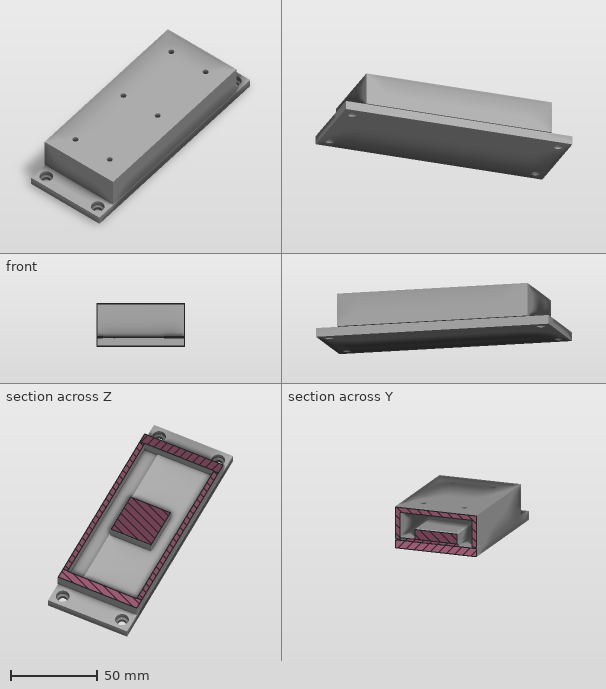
import cadquery as cq

LENGTH = 139.7
WIDTH = 50.9
HEIGHT = 24.9

BASE_THICKNESS = 5.2
BASE_OVERHANG = 12.7
MOUNT_HOLE_DIAMETER = 4.7
COUNTERBORE_DIAMETER = 8.0
COUNTERBORE_DEPTH = 3.1

COVER_CLEARANCE = 0.4
WALL = 3.2
COVER_HOLE_DIAMETER = 3.5
COVER_HOLE_SPACING_Y = 44.4
HOLES_ACROSS = 2
HOLES_ALONG = 3

BOARD_RIGHT_EDGE = 13.7
BOARD_THICKNESS = 1.5

CORE_SIDE = 26.5
CORE_HEIGHT = 6.3
CORE_CHAMFER = 0.8

MOUNT_EDGE_DISTANCE = BASE_OVERHANG / 2
END_PLATE_THICKNESS = BASE_OVERHANG / 2
COVER_HOLE_SPACING_X = WIDTH / 2
CHANNEL_LENGTH = LENGTH - 2 * BASE_OVERHANG - 2 * END_PLATE_THICKNESS
CAVITY_WIDTH = WIDTH - 2 * WALL
COVER_LEVEL = BASE_THICKNESS + COVER_CLEARANCE
COVER_HEIGHT = HEIGHT - COVER_LEVEL
CAVITY_HEIGHT = COVER_HEIGHT - WALL


def box_on(level, width, length, height, center_x=0.0, center_y=0.0):
    """Upright box whose bottom face lies at the given Z level."""
    return (
        cq.Workplane("XY", origin=(center_x, center_y, level))
        .box(width, length, height, centered=(True, True, False))
    )


def make_base():
    """Flat plate with a counterbored hole in each corner."""
    spacing_x = WIDTH - 2 * MOUNT_EDGE_DISTANCE
    spacing_y = LENGTH - 2 * MOUNT_EDGE_DISTANCE
    return (
        box_on(0, WIDTH, LENGTH, BASE_THICKNESS)
        .faces(">Z").workplane()
        .rect(spacing_x, spacing_y, forConstruction=True)
        .vertices()
        .cboreHole(MOUNT_HOLE_DIAMETER, COUNTERBORE_DIAMETER, COUNTERBORE_DEPTH)
    )


def make_channel():
    """Channel open at the bottom and both ends, with two rows of three holes through its top."""
    outside = box_on(COVER_LEVEL, WIDTH, CHANNEL_LENGTH, COVER_HEIGHT)
    cavity = box_on(COVER_LEVEL, CAVITY_WIDTH, CHANNEL_LENGTH, CAVITY_HEIGHT)
    holes = (
        cq.Workplane("XY", origin=(0, 0, HEIGHT - WALL))
        .rarray(COVER_HOLE_SPACING_X, COVER_HOLE_SPACING_Y, HOLES_ACROSS, HOLES_ALONG)
        .circle(COVER_HOLE_DIAMETER / 2)
        .extrude(WALL)
    )
    return outside.cut(cavity).cut(holes)


def make_end_plate(side):
    """Plate closing the channel at its +Y end (side = 1) or its -Y end (side = -1)."""
    center_y = side * (CHANNEL_LENGTH + END_PLATE_THICKNESS) / 2
    return box_on(COVER_LEVEL, WIDTH, END_PLATE_THICKNESS, COVER_HEIGHT, center_y=center_y)


def make_board():
    """Flat board running the whole length of the channel against its -X wall."""
    left_edge = -CAVITY_WIDTH / 2
    board_width = BOARD_RIGHT_EDGE - left_edge
    center_x = (left_edge + BOARD_RIGHT_EDGE) / 2
    return box_on(BASE_THICKNESS, board_width, CHANNEL_LENGTH, BOARD_THICKNESS, center_x=center_x)


def make_core():
    """Square block on the board, chamfered around its top."""
    block = box_on(BASE_THICKNESS + BOARD_THICKNESS, CORE_SIDE, CORE_SIDE, CORE_HEIGHT)
    return block.faces(">Z").edges().chamfer(CORE_CHAMFER)


base = make_base()
channel = make_channel()
end_plates = [make_end_plate(side) for side in (-1, 1)]
board = make_board()
core = make_core()

result = cq.Compound.makeCompound([
    base.val(),
    channel.val(),
    *[plate.val() for plate in end_plates],
    board.val(),
    core.val(),
])